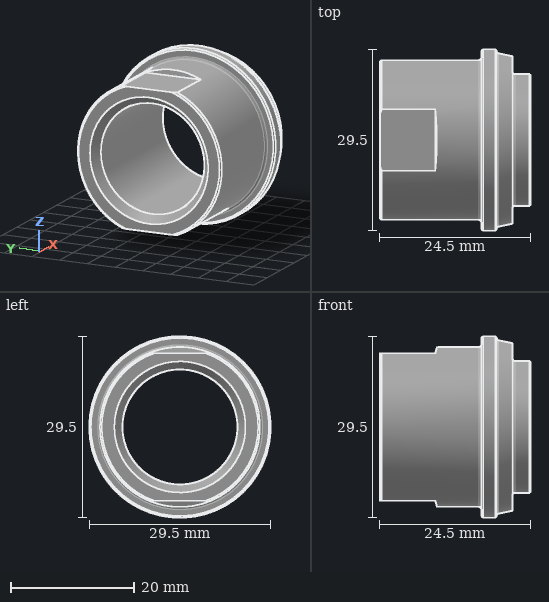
import cadquery as cq
import math

length = 24.5
flange_start = 16.45
flange_end = 19.0
cone_end = 21.55

outer_diameter = 29.5
body_diameter = 26.0
neck_diameter = 21.5
bore_diameter = 18.65
bore_mouth_diameter = 21.3

cone_base_diameter = 28.32
cone_angle = 12

edge_chamfer = 0.3
body_fillet = 0.38
small_fillet = 0.3
cone_edge_fillet = 0.2

mouth_depth = 1.33

flat_distance = 24.0
flat_length = 9.0
flat_end_slope = 15


def disc(start, end, diameter):
    """Cylinder on the X axis between two axial positions."""
    return cq.Workplane("YZ", origin=(start, 0, 0)).circle(diameter / 2).extrude(end - start)


def tapered_collar():
    """Collar that narrows away from the flange, rounded at its free edge."""
    cone_length = cone_end - flange_end
    collar = (
        cq.Workplane("YZ", origin=(flange_end, 0, 0))
        .circle(cone_base_diameter / 2)
        .extrude(cone_length, taper=cone_angle)
    )
    return collar.faces(">X").edges().fillet(cone_edge_fillet)


def root_fillet(face_x, diameter, radius, direction):
    """Concave ring between a cylinder and a face; direction is the way out along X."""
    root = diameter / 2
    edge_x = face_x + direction * radius
    middle = radius * (1 - math.sqrt(0.5))
    return (
        cq.Workplane("XY")
        .moveTo(edge_x, root)
        .threePointArc((face_x + direction * middle, root + middle), (face_x, root + radius))
        .lineTo(face_x - direction * radius, root + radius)
        .lineTo(face_x - direction * radius, root - radius)
        .lineTo(edge_x, root - radius)
        .close()
        .revolve(360, (0, 0, 0), (1, 0, 0))
    )


def cone_root_fillet():
    """Concave ring where the flange face meets the tapered collar."""
    slope = math.radians(cone_angle)
    root = cone_base_diameter / 2
    center_x = flange_end + small_fillet
    center_r = root - small_fillet * math.tan(slope) + small_fillet / math.cos(slope)
    touch_x = center_x - small_fillet * math.sin(slope)
    touch_r = center_r - small_fillet * math.cos(slope)
    middle_angle = math.radians(225) - slope / 2
    middle_x = center_x + small_fillet * math.cos(middle_angle)
    middle_r = center_r + small_fillet * math.sin(middle_angle)
    return (
        cq.Workplane("XY")
        .moveTo(flange_end, center_r)
        .threePointArc((middle_x, middle_r), (touch_x, touch_r))
        .lineTo(touch_x, root - small_fillet)
        .lineTo(flange_end - small_fillet, root - small_fillet)
        .lineTo(flange_end - small_fillet, center_r)
        .close()
        .revolve(360, (0, 0, 0), (1, 0, 0))
    )


def bore():
    """Through bore with a conical mouth at the wrench-flat end."""
    mouth = (
        cq.Workplane("YZ")
        .circle(bore_mouth_diameter / 2)
        .workplane(offset=mouth_depth)
        .circle(bore_diameter / 2)
        .loft()
    )
    return disc(0, length, bore_diameter).union(mouth)


def wrench_flat():
    """Cutter for the upper flat, with a sloping end wall."""
    flat_z = flat_distance / 2
    top_z = outer_diameter / 2
    end_run = (top_z - flat_z) * math.tan(math.radians(flat_end_slope))
    return (
        cq.Workplane("XZ")
        .moveTo(0, flat_z)
        .lineTo(flat_length, flat_z)
        .lineTo(flat_length + end_run, top_z)
        .lineTo(0, top_z)
        .close()
        .extrude(outer_diameter / 2, both=True)
    )


body = disc(0, flange_end, body_diameter).faces("<X").edges().chamfer(edge_chamfer)
flange = disc(flange_start, flange_end, outer_diameter).edges().chamfer(edge_chamfer)
neck = disc(flange_start, length, neck_diameter).faces(">X").edges().chamfer(edge_chamfer)
result = body.union(flange).union(tapered_collar()).union(neck)

result = result.union(root_fillet(flange_start, body_diameter, body_fillet, -1))
result = result.union(cone_root_fillet())
result = result.union(root_fillet(cone_end, neck_diameter, small_fillet, 1))

result = result.cut(bore())
upper_flat = wrench_flat()
result = result.cut(upper_flat).cut(upper_flat.mirror("XY"))